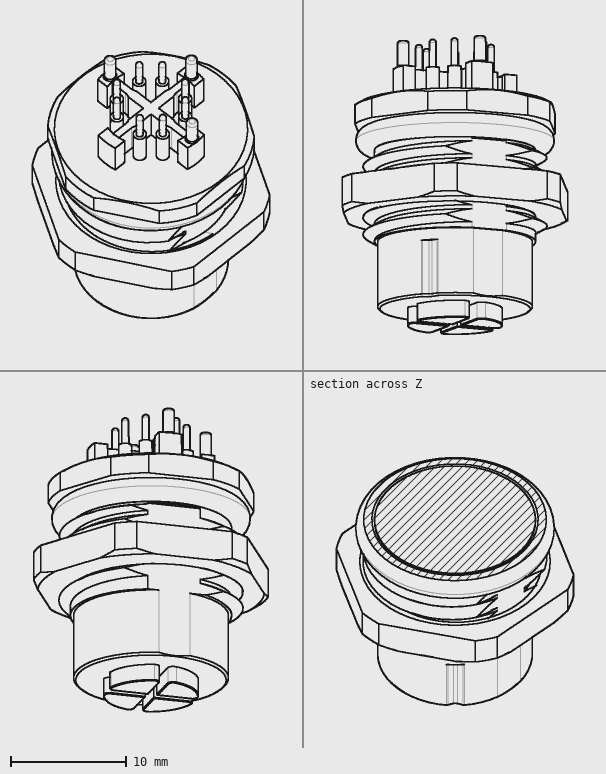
import cadquery as cq
import math

sleeve_bottom = 1.5
sleeve_top = 7.43
nut_bottom = 9.65
nut_top = 12.45
shank_top = 15.33
flange_bottom = 17.42
flange_top = 19.45
arm_top = 22.27
socket_top = 22.35
pad_top = 22.41
contact_top = 24.85
shield_pin_top = 24.75

lobe_radius = 4.13
lobe_gap = 0.77
lobe_fillet = 0.5
lobe_chamfer = 0.07

sleeve_radius = 6.73
sleeve_chamfer = 0.2
sleeve_flat_x = 6.59
keyway_top = 6.44
keyway_root = 6.4
keyway_slope = math.radians(22)
keyway_root_fillet = 0.42
keyway_mouth_fillet = 0.25
keyway_angle = 135

thread_radius = 8.0
thread_root_radius = 7.0
thread_start = 7.8
thread_end = 15.3
thread_turns = 5
thread_pitch = (thread_end - thread_start) / thread_turns
taper_bottom = 14.8
taper_top = 15.25
flank_angle = math.radians(30)
shank_left_flat_x = 6.8
shank_right_flat_x = sleeve_flat_x

ring_tube_radius = (flange_bottom - shank_top) / 2
ring_outer_radius = 8.62
flange_across_flats = 17.0
flange_corner_radius = 9.0
flange_face_radius = 8.4
chamfer_angle = math.radians(30)

nut_across_flats = 19.0
nut_across_corners = 20.9
nut_face_radius = 9.87
nut_countersink_radius = 8.28

arm_root_half_width = 0.47
arm_tip_half_width = 0.35
pad_inner_radius = 4.42
pad_outer_radius = 5.57
pad_width = 2.06

shield_pin_radius = 0.5
shield_pin_circle = 5.0
shield_pin_fillet = 0.22
collar_radius = 0.6
collar_height = 0.12
contact_radius = 0.3
socket_radius = 0.57
contact_near = 1.4
contact_far = 2.8

overlap = 0.12


def cylinder(radius, bottom, top):
    return cq.Workplane("XY").workplane(offset=bottom).circle(radius).extrude(top - bottom)


def side_block(x, bottom, top):
    """Everything beyond the plane at x, on the side away from the axis."""
    reach = 2 * thread_radius
    width = math.copysign(reach, x)
    return (
        cq.Workplane("XY").workplane(offset=bottom)
        .center(x + width / 2, 0).rect(reach, 2 * reach).extrude(top - bottom)
    )


def revolved(points):
    """Solid of revolution about Z from (radius, height) points, closed along the axis."""
    return cq.Workplane("XZ").polyline(points).close().revolve(360, (0, 0, 0), (0, 1, 0))


def hex_prism(across_flats, bottom, top):
    """Hexagonal prism with two of its flats facing -X and +X."""
    across_corners = across_flats / math.cos(math.pi / 6)
    prism = cq.Workplane("XY").workplane(offset=bottom).polygon(6, across_corners).extrude(top - bottom)
    return prism.rotate((0, 0, 0), (0, 0, 1), 90)


def make_lobe():
    """One of the quarter lobes, in the +X +Y quadrant, with rounded outer corners."""
    quarter = (
        cq.Workplane("XY").rect(lobe_radius, lobe_radius, centered=False).extrude(sleeve_bottom)
        .translate((lobe_gap / 2, lobe_gap / 2, 0))
    )
    lobe = quarter.intersect(cylinder(lobe_radius, 0, sleeve_bottom))
    return lobe.edges("|Z").edges(">X or >Y").fillet(lobe_fillet).faces("<Z").chamfer(lobe_chamfer)


def make_keyway():
    """Tool for the shallow V-shaped keyway on the +X side, with a rounded root."""
    outer_x = sleeve_radius + overlap
    half_width = (outer_x - keyway_root) / math.tan(keyway_slope)
    return (
        cq.Workplane("XY").workplane(offset=sleeve_bottom)
        .polyline([(keyway_root, 0), (outer_x, half_width), (outer_x, -half_width)])
        .close().extrude(keyway_top - sleeve_bottom)
        .edges("|Z and <X").fillet(keyway_root_fillet)
    )


def make_sleeve():
    """Sleeve with one rounded keyway, a chamfered lower rim and two flats."""
    sleeve = (
        cylinder(sleeve_radius, sleeve_bottom, sleeve_top)
        .cut(make_keyway())
        .edges("|Z").edges(">Y or <Y").fillet(keyway_mouth_fillet)
        .faces("<Z").chamfer(sleeve_chamfer)
        .rotate((0, 0, 0), (0, 0, 1), keyway_angle)
    )
    for x in (-sleeve_flat_x, sleeve_flat_x):
        sleeve = sleeve.cut(side_block(x, sleeve_bottom, sleeve_top))
    return sleeve


def make_thread():
    """Full round thread: a core with a right-hand helical ridge, tapered under the ring."""
    ridge_foot = thread_root_radius - overlap
    ridge_half_base = (thread_radius - ridge_foot) * math.tan(flank_angle)
    path = cq.Wire.makeHelix(thread_pitch, thread_end - thread_start, thread_root_radius)
    ridge = (
        cq.Workplane("XZ")
        .polyline([(ridge_foot, -ridge_half_base), (thread_radius, 0), (ridge_foot, ridge_half_base)])
        .close().sweep(cq.Workplane(path), isFrenet=True)
        .translate((0, 0, thread_start))
    )
    envelope = revolved([
        (0, sleeve_top),
        (thread_radius + overlap, sleeve_top),
        (thread_radius + overlap, taper_bottom),
        (thread_radius, taper_bottom),
        (thread_root_radius, taper_top),
        (0, taper_top),
    ])
    return cylinder(thread_root_radius, sleeve_top, shank_top).union(ridge.intersect(envelope))


def make_shank(thread):
    """Thread with a flat on its -X and +X sides."""
    shank = thread
    for x in (-shank_left_flat_x, shank_right_flat_x):
        shank = shank.cut(side_block(x, sleeve_top, shank_top))
    return shank


def make_sealing_ring():
    ring_centre_radius = ring_outer_radius - ring_tube_radius
    return (
        cq.Workplane("XZ").center(ring_centre_radius, (shank_top + flange_bottom) / 2)
        .circle(ring_tube_radius).revolve(360, (-ring_centre_radius, 0, 0), (-ring_centre_radius, 1, 0))
    )


def make_flange():
    """Hexagonal flange with rounded corners, its upper rim chamfered by a cone."""
    drop = (flange_corner_radius - flange_face_radius) * math.tan(chamfer_angle)
    envelope = revolved([
        (0, flange_bottom),
        (flange_corner_radius, flange_bottom),
        (flange_corner_radius, flange_top - drop),
        (flange_face_radius, flange_top),
        (0, flange_top),
    ])
    return hex_prism(flange_across_flats, flange_bottom, flange_top).intersect(envelope)


def make_shield_arm():
    """One arm along +X, narrowing on arcs centred on the contacts beside it."""
    clearance = contact_near - arm_tip_half_width
    root_end = contact_far - math.sqrt(clearance**2 - (contact_near - arm_root_half_width) ** 2)
    arc_turn = math.atan2(contact_near - arm_root_half_width, contact_far - root_end)
    mid_turn = (arc_turn + math.pi / 2) / 2
    mid_x = contact_far - clearance * math.cos(mid_turn)
    mid_y = contact_near - clearance * math.sin(mid_turn)
    tip_x = (pad_inner_radius + pad_outer_radius) / 2
    return (
        cq.Workplane("XY").workplane(offset=flange_top - overlap)
        .moveTo(0, -arm_root_half_width)
        .lineTo(root_end, -arm_root_half_width)
        .threePointArc((mid_x, -mid_y), (contact_far, -arm_tip_half_width))
        .lineTo(tip_x, -arm_tip_half_width)
        .lineTo(tip_x, arm_tip_half_width)
        .lineTo(contact_far, arm_tip_half_width)
        .threePointArc((mid_x, mid_y), (root_end, arm_root_half_width))
        .lineTo(0, arm_root_half_width)
        .close().extrude(arm_top - flange_top + overlap)
    )


def make_shield_pad():
    """Pad at the end of the +X arm, between two arcs about the connector axis."""
    bottom = flange_top - overlap
    band = cylinder(pad_outer_radius, bottom, pad_top).cut(cylinder(pad_inner_radius, bottom, pad_top))
    strip = (
        cq.Workplane("XY").workplane(offset=bottom)
        .center(pad_outer_radius / 2, 0).rect(pad_outer_radius, pad_width).extrude(pad_top - bottom)
    )
    return band.intersect(strip)


def make_shield_pin():
    """Rounded pin with a conical collar, on the +X pad."""
    pin = cylinder(shield_pin_radius, pad_top - overlap, shield_pin_top)
    pin = pin.faces(">Z").edges().fillet(shield_pin_fillet)
    collar = revolved([
        (0, pad_top),
        (collar_radius, pad_top),
        (shield_pin_radius, pad_top + collar_height),
        (0, pad_top + collar_height),
    ])
    return pin.union(collar).translate((shield_pin_circle, 0, 0))


def make_contact():
    """Dome-ended signal contact standing in its round socket."""
    dome_centre = contact_top - contact_radius
    dome = cq.Workplane("XY").sphere(contact_radius).translate((0, 0, dome_centre))
    return (
        cylinder(socket_radius, flange_top - overlap, socket_top)
        .union(cylinder(contact_radius, socket_top - overlap, dome_centre))
        .union(dome)
    )


def make_connector(thread):
    """The connector: lobes, sleeve, shank, ring, flange, shield cross and contacts in one piece."""
    connector = (
        make_flange()
        .union(cylinder(thread_root_radius, shank_top, flange_bottom))
        .union(make_sealing_ring())
        .union(make_shank(thread))
        .union(make_sleeve())
    )
    axis = ((0, 0, 0), (0, 0, 1))
    for turn in (0, 90, 180, 270):
        connector = connector.union(make_lobe().rotate(*axis, turn))
        connector = connector.union(make_shield_arm().rotate(*axis, turn))
        connector = connector.union(make_shield_pad().rotate(*axis, turn))
    for turn in (0, 90, 180):
        connector = connector.union(make_shield_pin().rotate(*axis, turn))
    for side_x in (-1, 1):
        for side_y in (-1, 1):
            for x, y in ((contact_near, contact_far), (contact_far, contact_near)):
                connector = connector.union(make_contact().translate((side_x * x, side_y * y, 0)))
    return connector


def make_nut(thread):
    """Hexagonal nut, chamfered below and countersunk above, with a matching internal thread."""
    rise = (nut_across_corners / 2 - nut_face_radius) * math.tan(chamfer_angle)
    envelope = revolved([
        (0, nut_bottom),
        (nut_face_radius, nut_bottom),
        (nut_across_corners / 2, nut_bottom + rise),
        (nut_across_corners / 2, nut_top),
        (0, nut_top),
    ])
    sink_depth = (nut_countersink_radius - thread_root_radius) * math.tan(chamfer_angle)
    countersink = revolved([
        (0, nut_top),
        (nut_countersink_radius, nut_top),
        (thread_root_radius, nut_top - sink_depth),
        (0, nut_top - sink_depth),
    ])
    nut = hex_prism(nut_across_flats, nut_bottom, nut_top).intersect(envelope)
    return nut.cut(countersink).cut(thread)


thread = make_thread()
connector = make_connector(thread)
nut = make_nut(thread)

result = cq.Compound.makeCompound([connector.val(), nut.val()])